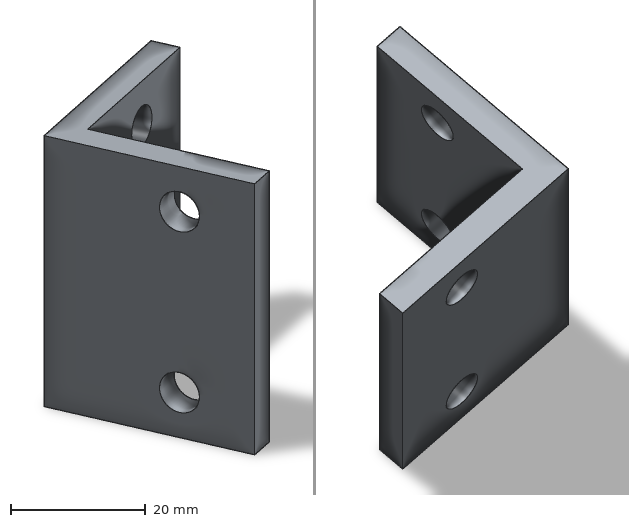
import cadquery as cq

height = 45.0
leg_length = 35.0
thickness = 4.8
hole_diameter = 6.6
hole_offset = 22.5
hole_spacing = 30.0


def angle_profile():
    """L-shaped section with its outer corner at the origin."""
    return (
        cq.Workplane("XY")
        .moveTo(0, 0)
        .lineTo(leg_length, 0)
        .lineTo(leg_length, thickness)
        .lineTo(thickness, thickness)
        .lineTo(thickness, leg_length)
        .lineTo(0, leg_length)
        .close()
    )


def hole_cutter(position, direction):
    """Cylinder that passes through one leg of the bracket."""
    return cq.Workplane(cq.Solid.makeCylinder(hole_diameter / 2, thickness, position, direction))


result = angle_profile().extrude(height)

for side in (-1, 1):
    hole_height = height / 2 + side * hole_spacing / 2
    result = result.cut(hole_cutter(cq.Vector(hole_offset, 0, hole_height), cq.Vector(0, 1, 0)))
    result = result.cut(hole_cutter(cq.Vector(0, hole_offset, hole_height), cq.Vector(1, 0, 0)))